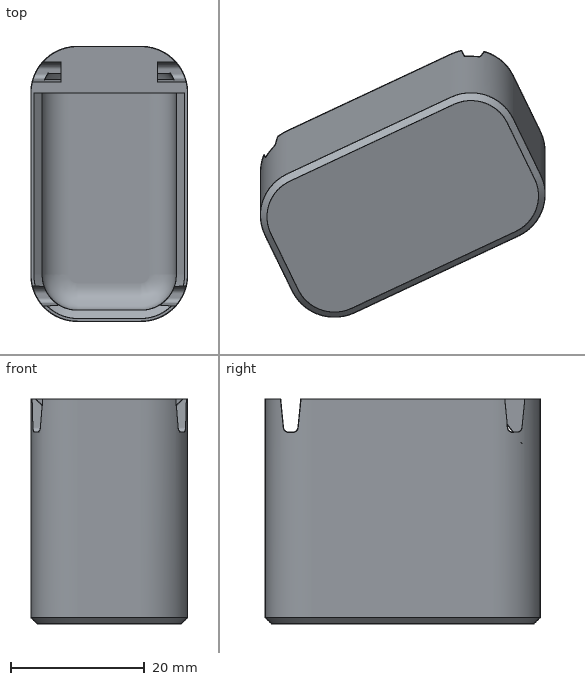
import cadquery as cq

width = 23.5
length = 41.2
height = 33.7
corner_radius = 7.0
base_chamfer = 1.0

wall = 1.7
floor_thickness = wall
floor_fillet = 4.0
lip_width = 0.45
rim_chamfer = wall - lip_width

bridge_front = length / 2 - corner_radius
bridge_face_height = rim_chamfer
underside_drop = 6.85

notch_offset = 16.75
notch_top_width = 3.0
notch_bottom_width = 2.0
notch_depth = 5.0
notch_bottom_radius = 0.75
notch_reach = 4.55


def rounded_block(inset, bottom, top):
    """Upright block with the body outline moved inwards by inset."""
    return (
        cq.Workplane("XY")
        .workplane(offset=bottom)
        .rect(width - 2 * inset, length - 2 * inset)
        .extrude(top - bottom)
        .edges("|Z")
        .fillet(corner_radius - inset)
    )


def make_cavity():
    """Cavity with a rounded floor and a 45 degree flare at the rim."""
    cavity = rounded_block(wall, floor_thickness, height).faces("<Z").edges().fillet(floor_fillet)
    rim_outline = (
        cq.Sketch()
        .rect(width - 2 * lip_width, length - 2 * lip_width)
        .vertices()
        .fillet(corner_radius - lip_width)
    )
    flare = (
        cq.Workplane("XY")
        .workplane(offset=height)
        .placeSketch(rim_outline)
        .extrude(-rim_chamfer, taper=45)
    )
    return cavity.union(flare)


def make_bridge():
    """Wedge across the rear, trimmed to the body outline."""
    face_bottom = height - bridge_face_height
    inner_rear = length / 2 - wall
    wedge = (
        cq.Workplane("YZ")
        .moveTo(bridge_front, height)
        .lineTo(bridge_front, face_bottom)
        .lineTo(inner_rear, face_bottom - underside_drop)
        .lineTo(length / 2, face_bottom - underside_drop)
        .lineTo(length / 2, height)
        .close()
        .extrude(width / 2, both=True)
    )
    return wedge.intersect(rounded_block(0, 0, height))


def make_notch(side, end):
    """Notch cut inwards from one side (-1 or 1) near one end (-1 or 1)."""
    notch = (
        cq.Workplane("YZ")
        .moveTo(-notch_top_width / 2, 0)
        .lineTo(-notch_bottom_width / 2, -notch_depth)
        .lineTo(notch_bottom_width / 2, -notch_depth)
        .lineTo(notch_top_width / 2, 0)
        .close()
        .extrude(notch_reach / 2, both=True)
        .edges("|X and <Z")
        .fillet(notch_bottom_radius)
    )
    notch_centre = side * (width - notch_reach) / 2
    return notch.translate((notch_centre, end * notch_offset, height))


body = rounded_block(0, 0, height).faces("<Z").edges().chamfer(base_chamfer)
result = body.cut(make_cavity()).union(make_bridge())
for side in (-1, 1):
    for end in (-1, 1):
        result = result.cut(make_notch(side, end))